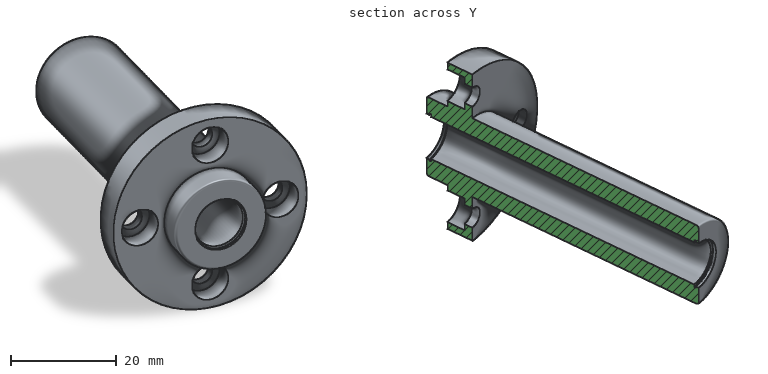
import cadquery as cq

sleeve_length = 65.0
sleeve_diameter = 19.0
end_fillet = 0.6

bore_diameter = 10.0
lip_diameter = 10.6
lip_width = 0.7
recess_diameter = 11.2
recess_width = 0.35

flange_diameter = 40.0
flange_thickness = 6.0
flange_start = 54.0

hole_count = 4
bolt_circle_diameter = 29.0
hole_diameter = 4.5
counterbore_diameter = 7.5
counterbore_depth = 4.1


def cylinder(start, length, diameter, z=0.0):
    """Solid cylinder along +X, starting at x = start with its axis at height z."""
    return (
        cq.Workplane("YZ", origin=(start, 0, z))
        .circle(diameter / 2)
        .extrude(length)
    )


def make_sleeve():
    """Plain round sleeve with both end rims rounded."""
    return cylinder(0, sleeve_length, sleeve_diameter).edges().fillet(end_fillet)


def make_bore():
    """Through bore; each end has a thin lip with a wider annular recess behind it."""
    mouth_depth = lip_width + recess_width
    bore = cylinder(0, sleeve_length, bore_diameter)
    for lip_start, recess_start in (
        (0, lip_width),
        (sleeve_length - lip_width, sleeve_length - mouth_depth),
    ):
        bore = bore.union(cylinder(lip_start, lip_width, lip_diameter))
        bore = bore.union(cylinder(recess_start, recess_width, recess_diameter))
    return bore


def make_screw_holes():
    """Evenly spaced screw holes, counterbored from the +X face of the flange."""
    counterbore_start = flange_start + flange_thickness - counterbore_depth
    bolt_circle_radius = bolt_circle_diameter / 2
    hole = cylinder(flange_start, flange_thickness, hole_diameter, bolt_circle_radius)
    counterbore = cylinder(
        counterbore_start, counterbore_depth, counterbore_diameter, bolt_circle_radius
    )
    screw_hole = hole.union(counterbore)
    holes = screw_hole
    for index in range(1, hole_count):
        angle = index * 360 / hole_count
        holes = holes.union(screw_hole.rotate((0, 0, 0), (1, 0, 0), angle))
    return holes


def make_flange():
    """Round mounting flange near the +X end of the sleeve."""
    return cylinder(flange_start, flange_thickness, flange_diameter)


result = (
    make_sleeve()
    .union(make_flange())
    .cut(make_bore())
    .cut(make_screw_holes())
)